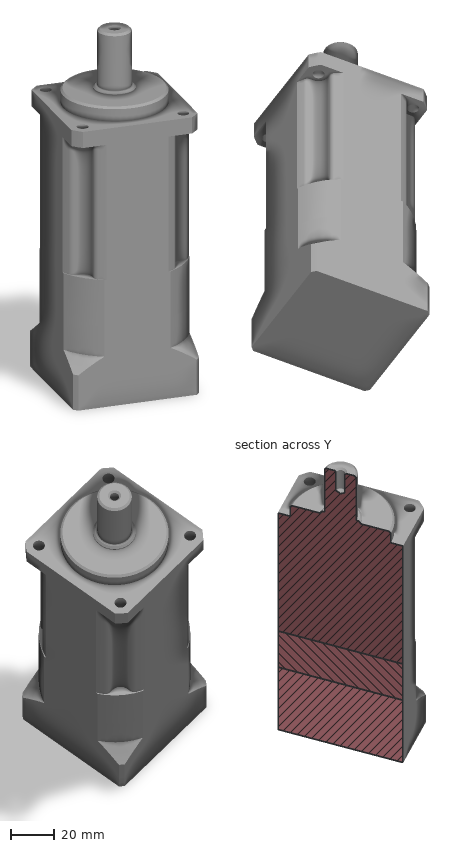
import cadquery as cq
import math

side = 62.0
half_side = side / 2

neck_bottom = 25.0
base_top = 40.0
ring_top = 63.0
plate_bottom = 130.0
plate_top = 138.0
pilot_top = 145.0
collar_top = 146.5
shaft_top = 174.5

base_corner_radius = 42.5
neck_radius = 35.0
barrel_radius = 34.5
plate_corner_radius = 41.0

bolt_circle_radius = 35.0
bolt_offset = bolt_circle_radius / math.sqrt(2)
bolt_hole_diameter = 5.5
groove_radius = 4.75
groove_lip_radius = 3.0

pilot_radius = 25.0
pilot_chamfer = 1.0
collar_radius = 10.0
collar_chamfer = 1.0
shaft_radius = 8.0
shaft_chamfer = 1.0

centre_hole_radius = 2.1
centre_hole_depth = 12.5
centre_sink_radius = 3.0
centre_sink_angle = 90.0
drill_tip_angle = 118.0


def rounded_square(bottom, top, corner_radius):
    """Square prism whose corners are turned down to a radius about the Z axis."""
    height = top - bottom
    turned = cq.Workplane("XY").workplane(offset=bottom).circle(corner_radius).extrude(height)
    square = cq.Workplane("XY").workplane(offset=bottom).rect(side, side).extrude(height)
    return square.intersect(turned)


def make_base():
    """Motor adapter: square foot whose corners slope at 45 degrees into the round neck."""
    slope_bottom = neck_bottom - (base_corner_radius - neck_radius)
    turned = (
        cq.Workplane("XZ")
        .moveTo(0, 0)
        .lineTo(base_corner_radius, 0)
        .lineTo(base_corner_radius, slope_bottom)
        .lineTo(neck_radius, neck_bottom)
        .lineTo(neck_radius, base_top)
        .lineTo(0, base_top)
        .close()
        .revolve(360, (0, 0, 0), (0, 1, 0))
    )
    square = cq.Workplane("XY").rect(side, side).extrude(base_top)
    return square.intersect(turned)


def make_ring():
    """Plain intermediate ring between the adapter and the gear housing."""
    return rounded_square(base_top, ring_top, neck_radius)


def make_groove():
    """Bolt groove in the +X +Y corner, with lips rounded tangent to the barrel."""
    wall = bolt_offset - groove_radius
    throat = bolt_offset - groove_radius / math.sqrt(2)

    lip_near = wall - groove_lip_radius
    lip_orbit = barrel_radius - groove_lip_radius
    lip_far = math.sqrt(lip_orbit**2 - lip_near**2)

    barrel_near = lip_near * barrel_radius / lip_orbit
    barrel_far = lip_far * barrel_radius / lip_orbit
    mid_angle = math.atan2(lip_far, lip_near) / 2
    mid_near = lip_near + groove_lip_radius * math.cos(mid_angle)
    mid_far = lip_far + groove_lip_radius * math.sin(mid_angle)

    return (
        cq.Workplane("XY")
        .workplane(offset=ring_top)
        .moveTo(barrel_far, barrel_near)
        .threePointArc((mid_far, mid_near), (lip_far, wall))
        .lineTo(bolt_offset, wall)
        .threePointArc((throat, throat), (wall, bolt_offset))
        .lineTo(wall, lip_far)
        .threePointArc((mid_near, mid_far), (barrel_near, barrel_far))
        .lineTo(half_side, half_side)
        .close()
        .extrude(plate_bottom - ring_top)
    )


def make_output_end():
    """Pilot disc, collar and shaft as one turned shape, with the centre hole in the shaft."""
    sink_width = centre_sink_radius - centre_hole_radius
    sink_depth = sink_width / math.tan(math.radians(centre_sink_angle / 2))
    hole_bottom = shaft_top - centre_hole_depth
    tip_depth = centre_hole_radius / math.tan(math.radians(drill_tip_angle / 2))
    return (
        cq.Workplane("XZ")
        .moveTo(0, plate_top)
        .lineTo(pilot_radius, plate_top)
        .lineTo(pilot_radius, pilot_top - pilot_chamfer)
        .lineTo(pilot_radius - pilot_chamfer, pilot_top)
        .lineTo(collar_radius, pilot_top)
        .lineTo(collar_radius, collar_top - collar_chamfer)
        .lineTo(collar_radius - collar_chamfer, collar_top)
        .lineTo(shaft_radius, collar_top)
        .lineTo(shaft_radius, shaft_top - shaft_chamfer)
        .lineTo(shaft_radius - shaft_chamfer, shaft_top)
        .lineTo(centre_sink_radius, shaft_top)
        .lineTo(centre_hole_radius, shaft_top - sink_depth)
        .lineTo(centre_hole_radius, hole_bottom)
        .lineTo(0, hole_bottom - tip_depth)
        .close()
        .revolve(360, (0, 0, 0), (0, 1, 0))
    )


def make_gear_housing():
    """Grooved barrel, mounting plate and output end in one body."""
    barrel = rounded_square(ring_top, plate_bottom, barrel_radius)
    groove = make_groove()
    for corner in range(4):
        barrel = barrel.cut(groove.rotate((0, 0, 0), (0, 0, 1), 90 * corner))

    plate = rounded_square(plate_bottom, plate_top, plate_corner_radius)
    bolt_holes = (
        cq.Workplane("XY")
        .workplane(offset=plate_bottom)
        .rect(2 * bolt_offset, 2 * bolt_offset, forConstruction=True)
        .vertices()
        .circle(bolt_hole_diameter / 2)
        .extrude(plate_top - plate_bottom)
    )
    plate = plate.cut(bolt_holes)
    return barrel.union(plate).union(make_output_end()).clean()


base = make_base()
ring = make_ring()
gear_housing = make_gear_housing()

result = cq.Compound.makeCompound([base.val(), ring.val(), gear_housing.val()])